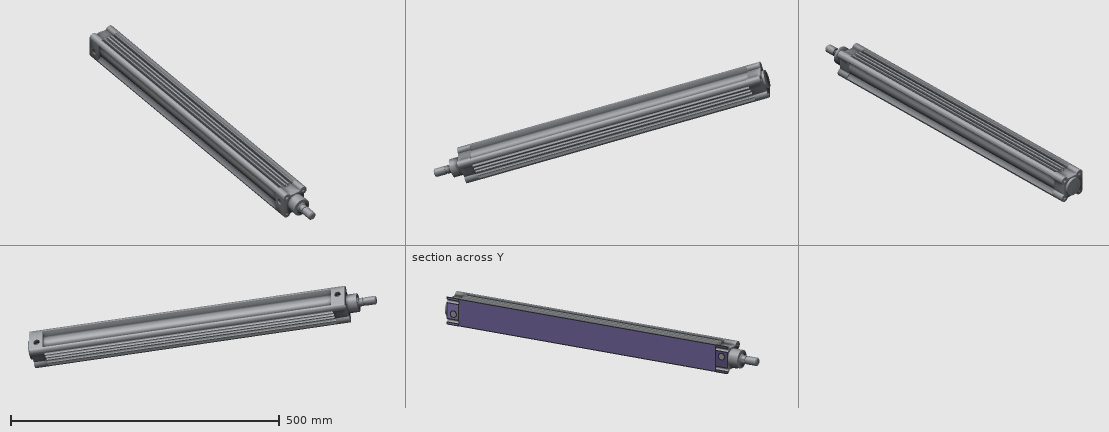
import cadquery as cq
import math

side = 54.0
half_side = side / 2
lobe_radius = 8.0
bolt_offset = half_side - lobe_radius
notch_depth = 6.0
notch_floor = half_side - notch_depth

total_length = 663.0
rear_boss_length = 4.5
cap_length = 26.0
barrel_length = 552.0
neck_boss_length = 20.0
seal_lip_length = 2.5
barrel_start = rear_boss_length + cap_length
front_cap_start = barrel_start + barrel_length
front_cap_end = front_cap_start + cap_length
neck_boss_end = front_cap_end + neck_boss_length
rod_exit = neck_boss_end + seal_lip_length

boss_diameter = 35.0
seal_lip_base_diameter = 21.0
seal_lip_rim_diameter = 17.0
bolt_hole_diameter = 6.0
port_diameter = 12.0
port_depth = 10.0
port_height = 5.0
port_inset = 12.0

bulge_radius = 22.5
flank_foot = notch_floor - lobe_radius
slot_half_width = 11.0
rail_half_width = 5.0
rail_neck_half_width = 4.0
rail_head_height = 4.0
rail_groove_width = 4.5
rail_groove_depth = 4.5

rod_diameter = 16.0
flats_across = 14.5
flats_length = 7.0
undercut_diameter = 12.0
undercut_length = 2.5
stud_length = 22.0
stud_chamfer = 2.0
stud_start = total_length - stud_length
undercut_start = stud_start - undercut_length


def section(x):
    """Plane across the axis at x: its first direction is Y, its second is Z."""
    return cq.Workplane("YZ", origin=(x, 0, 0))


def axial_cylinder(start, end, diameter):
    return section(start).circle(diameter / 2).extrude(end - start)


def axial_box(start, end, y_limits, z_limits):
    size = (end - start, y_limits[1] - y_limits[0], z_limits[1] - z_limits[0])
    return cq.Workplane().box(*size, centered=False).translate((start, y_limits[0], z_limits[0]))




def bolt_points():
    return [(y, z) for y in (-bolt_offset, bolt_offset) for z in (-bolt_offset, bolt_offset)]


def cap_block(start):
    """Square core with a round lobe at each corner; the -Y side is filled flat for the port."""
    end = start + cap_length
    core_limits = (-notch_floor, notch_floor)
    core = axial_box(start, end, core_limits, core_limits)
    port_side = axial_box(start, end, (-half_side, -notch_floor), (-bolt_offset, bolt_offset))
    lobes = section(start).pushPoints(bolt_points()).circle(lobe_radius).extrude(cap_length)
    return core.union(port_side).union(lobes).clean()


def drill_cap(cap, start, port_x, port_z):
    """Bolt holes through the four lobes, and a flat-bottomed port in the -Y side."""
    bolt_holes = (
        section(start).pushPoints(bolt_points()).circle(bolt_hole_diameter / 2).extrude(cap_length)
    )
    port = (
        cq.Workplane("XZ", origin=(port_x, -half_side, port_z))
        .circle(port_diameter / 2)
        .extrude(-port_depth)
    )
    return cap.cut(bolt_holes).cut(port)


def make_rear_cap():
    boss = axial_cylinder(0, rear_boss_length, boss_diameter)
    cap = cap_block(rear_boss_length).union(boss)
    return drill_cap(cap, rear_boss_length, barrel_start - port_inset, -port_height)


def make_front_cap():
    """Cap with a neck boss and a conical seal lip around the rod bore."""
    boss = axial_cylinder(front_cap_end, neck_boss_end, boss_diameter)
    seal_lip = (
        section(neck_boss_end)
        .circle(seal_lip_base_diameter / 2)
        .workplane(offset=seal_lip_length)
        .circle(seal_lip_rim_diameter / 2)
        .loft()
    )
    rod_bore = axial_cylinder(front_cap_start, rod_exit, rod_diameter)
    cap = cap_block(front_cap_start).union(boss).union(seal_lip).cut(rod_bore)
    return drill_cap(cap, front_cap_start, front_cap_start + port_inset, port_height)




def barrel_body():
    """Rounded square with bulged +Y and -Y sides and flat-floored +Z and -Z sides."""
    round_middle = bolt_offset + lobe_radius / math.sqrt(2)
    bulge_z = (math.sqrt(2 * bulge_radius**2 - lobe_radius**2) - lobe_radius) / 2
    bulge_y = bulge_z + lobe_radius
    return (
        section(barrel_start)
        .moveTo(-flank_foot, notch_floor)
        .lineTo(flank_foot, notch_floor)
        .lineTo(bolt_offset, half_side)
        .threePointArc((round_middle, round_middle), (half_side, bolt_offset))
        .lineTo(bulge_y, bulge_z)
        .threePointArc((bulge_radius, 0), (bulge_y, -bulge_z))
        .lineTo(half_side, -bolt_offset)
        .threePointArc((round_middle, -round_middle), (bolt_offset, -half_side))
        .lineTo(flank_foot, -notch_floor)
        .lineTo(-flank_foot, -notch_floor)
        .lineTo(-bolt_offset, -half_side)
        .threePointArc((-round_middle, -round_middle), (-half_side, -bolt_offset))
        .lineTo(-bulge_y, -bulge_z)
        .threePointArc((-bulge_radius, 0), (-bulge_y, bulge_z))
        .lineTo(-half_side, bolt_offset)
        .threePointArc((-round_middle, round_middle), (-bolt_offset, half_side))
        .close()
        .extrude(barrel_length)
    )


def slot_profiles():
    """Sensor rail and the two thin slot walls beside it, along the +Z side."""
    end = barrel_start + barrel_length
    head_bottom = half_side - rail_head_height
    rail_neck = axial_box(
        barrel_start, end, (-rail_neck_half_width, rail_neck_half_width), (notch_floor, half_side)
    )
    rail_head = axial_box(
        barrel_start, end, (-rail_half_width, rail_half_width), (head_bottom, half_side)
    )
    groove = axial_box(
        barrel_start,
        end,
        (-rail_groove_width / 2, rail_groove_width / 2),
        (half_side - rail_groove_depth, half_side),
    )
    wall_height = (notch_floor, half_side)
    left_wall = axial_box(barrel_start, end, (-flank_foot, -slot_half_width), wall_height)
    right_wall = axial_box(barrel_start, end, (slot_half_width, flank_foot), wall_height)
    return rail_neck.union(rail_head).cut(groove).union(left_wall).union(right_wall)


def make_barrel():
    upper = slot_profiles()
    lower = upper.mirror("XY")
    return barrel_body().union(upper).union(lower)




def make_rod():
    """Rod through the front cap, with wrench flats on +Y and -Y, an undercut and a stud end."""
    shank = axial_cylinder(front_cap_start, undercut_start, rod_diameter)
    undercut = axial_cylinder(undercut_start, stud_start, undercut_diameter)
    stud = axial_cylinder(stud_start, total_length, rod_diameter)
    stud = stud.faces(">X").chamfer(stud_chamfer)
    rod = shank.union(undercut).union(stud)
    flats_start = undercut_start - flats_length
    z_limits = (-rod_diameter / 2, rod_diameter / 2)
    near_flat = axial_box(
        flats_start, undercut_start, (-rod_diameter / 2, -flats_across / 2), z_limits
    )
    return rod.cut(near_flat).cut(near_flat.mirror("XZ"))


rear_cap = make_rear_cap()
barrel = make_barrel()
front_cap = make_front_cap()
rod = make_rod()

result = cq.Compound.makeCompound([rear_cap.val(), barrel.val(), front_cap.val(), rod.val()])